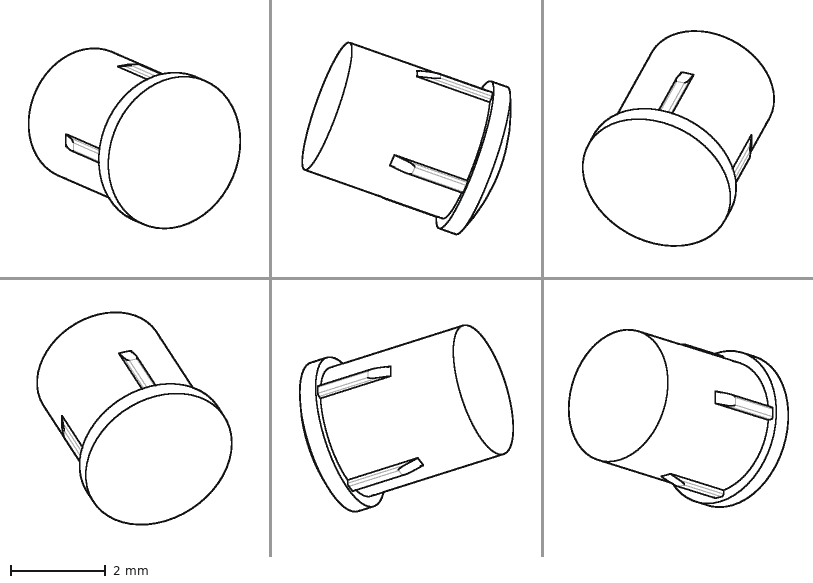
import cadquery as cq

total_length = 3.89
flange_diameter = 3.3
body_diameter = 2.85
flange_start = 3.13
flange_thickness = 0.377
dish_depth = 0.06

rib_count = 4
rib_width = 0.27
rib_top_radius = 1.55
rib_start = 1.48
rib_ramp_end = 1.955
rib_edge_radius = 0.05

body_radius = body_diameter / 2
flange_radius = flange_diameter / 2
dome_start = flange_start + flange_thickness


def arc_midpoint(apex_x, rim_x, rim_radius):
    """Point at half the rim radius on the spherical arc from apex to rim."""
    height = apex_x - rim_x
    sphere_radius = (rim_radius**2 + height**2) / (2 * height)
    mid_radius = rim_radius / 2
    mid_x = apex_x - sphere_radius + (sphere_radius**2 - mid_radius**2) ** 0.5
    return mid_x, mid_radius


def make_plug():
    """Round body with a dished end, flange and domed head as one revolved profile."""
    return (
        cq.Workplane("XY")
        .moveTo(dish_depth, 0)
        .threePointArc(arc_midpoint(dish_depth, 0, body_radius), (0, body_radius))
        .lineTo(flange_start, body_radius)
        .lineTo(flange_start, flange_radius)
        .lineTo(dome_start, flange_radius)
        .threePointArc(arc_midpoint(total_length, dome_start, flange_radius), (total_length, 0))
        .close()
        .revolve(360, (0, 0, 0), (1, 0, 0))
    )


def make_rib():
    """Rib on the +Z side: rounded top edges and a lead-in ramp."""
    bar = (
        cq.Workplane("XY")
        .box(dome_start - rib_start, rib_width, rib_top_radius, centered=(False, True, False))
        .translate((rib_start, 0, 0))
        .edges("|X and >Z")
        .fillet(rib_edge_radius)
    )
    ramp_profile = (
        cq.Workplane("XZ")
        .moveTo(rib_start, 0)
        .lineTo(rib_start, body_radius)
        .lineTo(rib_ramp_end, rib_top_radius)
        .lineTo(dome_start, rib_top_radius)
        .lineTo(dome_start, 0)
        .close()
        .extrude(rib_width, both=True)
    )
    return bar.intersect(ramp_profile)


result = make_plug()
rib = make_rib()
for index in range(rib_count):
    angle = index * 360 / rib_count
    result = result.union(rib.rotate((0, 0, 0), (1, 0, 0), angle))